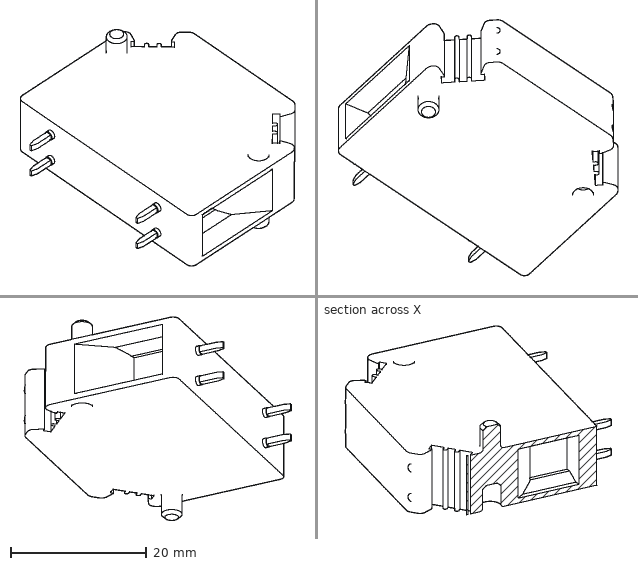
import cadquery as cq
import math

width = 36.8
depth = 28.7
thickness = 10.0
corner_radius = 1.0
half_width = width / 2
half_thickness = thickness / 2

bevel_corner_x = 10.9
bevel_radius = 1.25

horn_radius = 1.0

seat_x = 12.65
seat_y = 22.3
seat_half_length = 3.2
slot_wall_height = 1.1
lip_overhang = 0.48
lip_thickness = 0.22
lip_round = 0.15
lip_angle = math.radians(67.5)

rib_spacing = 1.85
rib_width = 0.65
rib_height = 0.75

peg_x = 15.0
peg_y = 17.15
peg_radius = 1.55
peg_tip_spacing = 18.4
peg_length = peg_tip_spacing / 2 - half_thickness
peg_chamfer = 0.5
peg_base_radius = 0.5

funnel_back_y = 16.75
funnel_front_y = 2.3
funnel_height = 8.2
throat_back_y = 9.75
throat_front_y = 3.57
throat_height = 5.75
funnel_depth = 5.7
ramp_start = 3.6
ramp_end = 5.08
back_wall_angle = math.radians(54)
throat_round = 1.0

pin_x = 11.22
pin_z = 2.5
pin_length = 4.3
pin_width = 0.9
pin_thickness = 1.0
pin_tip_width = 0.33
pin_tip_length = 1.0
collar_radius = 0.7
collar_length = 0.55
pin_root = 0.35

stud_radius = 0.75
stud_length = 1.1
stud_y = 28.15


def seat_point(u, v):
    """Turn seat coordinates of the left slot into x, y."""
    half_root = math.sqrt(0.5)
    return (-seat_x + (u - v) * half_root, seat_y + (u + v) * half_root)


def line_crossing(point, angle, other_point, other_angle):
    """Crossing of two lines, each given by a point and a direction angle."""
    dx = other_point[0] - point[0]
    dy = other_point[1] - point[1]
    along = dx * math.sin(other_angle) - dy * math.cos(other_angle)
    along /= math.sin(other_angle - angle)
    return (point[0] + along * math.cos(angle), point[1] + along * math.sin(angle))


def round_edges(body, points, radius):
    """Round the Z edges that pass through the given points."""
    for x, y in points:
        edge = body.edges("|Z").edges(cq.selectors.NearestToPointSelector((x, y, 0)))
        body = edge.fillet(radius)
    return body


def plate(points):
    """Closed outline extruded through the full thickness."""
    return cq.Workplane("XY").polyline(points).close().extrude(half_thickness, both=True)


def half_housing():
    """Left half of the housing."""
    lip_u = seat_half_length - lip_overhang
    lip_top = slot_wall_height + lip_thickness
    lower_lip = [seat_point(-lip_u, lip_top), seat_point(-lip_u, slot_wall_height)]
    upper_lip = [seat_point(lip_u, slot_wall_height), seat_point(lip_u, lip_top)]
    slot = [
        seat_point(-seat_half_length, slot_wall_height),
        seat_point(-seat_half_length, 0),
        seat_point(seat_half_length, 0),
        seat_point(seat_half_length, slot_wall_height),
    ]

    diagonal = math.radians(45)
    front_corner = (-half_width, 0)
    back_corner = (-bevel_corner_x, depth)
    side_corner = (-half_width, depth - (half_width - bevel_corner_x))
    lower_horn = line_crossing(lower_lip[0], diagonal - lip_angle, back_corner, diagonal)
    upper_horn = line_crossing(upper_lip[1], diagonal + lip_angle, back_corner, diagonal)

    outline = [(0, 0), front_corner, side_corner, lower_horn, *lower_lip, *slot]
    outline += [*upper_lip, upper_horn, back_corner, (0, depth)]
    body = plate(outline)
    body = round_edges(body, [front_corner], corner_radius)
    body = round_edges(body, [lower_horn, upper_horn], horn_radius)
    body = round_edges(body, [side_corner, back_corner], bevel_radius)
    body = round_edges(body, lower_lip[:1] + upper_lip[1:], lip_round)

    for u in (-rib_spacing / 2, rib_spacing / 2):
        body = body.union(rib(u))
    return body.union(studs())


def rib(u):
    """Round-topped rib standing on the seat."""
    radius = rib_width / 2
    straight = rib_height - radius
    return (
        cq.Workplane("XY")
        .moveTo(*seat_point(u - radius, -radius))
        .lineTo(*seat_point(u - radius, straight))
        .threePointArc(seat_point(u, rib_height), seat_point(u + radius, straight))
        .lineTo(*seat_point(u + radius, -radius))
        .close()
        .extrude(half_thickness, both=True)
    )


def studs():
    """Two studs square to the left bevel, level with the pin rows."""
    stud_x = -bevel_corner_x - (depth - stud_y)
    pair = cq.Workplane("XY")
    for z in (-pin_z, pin_z):
        face = cq.Plane(origin=(stud_x, stud_y, z), xDir=(0, 0, 1), normal=(1, -1, 0))
        pair = pair.union(cq.Workplane(face).circle(stud_radius).extrude(stud_length))
    return pair


def funnel():
    """Cavity of the left wire funnel: a plan shape limited in height by a side shape."""
    face = -half_width
    floor = face + funnel_depth
    back_mouth = (face, funnel_back_y)
    throat_corner = line_crossing(back_mouth, -back_wall_angle, (floor, throat_back_y), 0)
    plan = plate([
        (face, funnel_front_y),
        (floor, throat_front_y),
        (floor, throat_back_y),
        throat_corner,
        back_mouth,
    ])
    plan = round_edges(plan, [throat_corner], throat_round)

    upper = [
        (face, funnel_height / 2),
        (face + ramp_start, funnel_height / 2),
        (face + ramp_end, throat_height / 2),
        (floor, throat_height / 2),
    ]
    lower = [(x, -z) for x, z in reversed(upper)]
    side = cq.Workplane("XZ").polyline(upper + lower).close().extrude(-depth)
    return plan.intersect(side)


def peg(x):
    """Upright peg on z = 0 with a flared base and a chamfered tip; also the socket shape."""
    mid_arc = peg_base_radius * (1 - math.sqrt(0.5))
    return (
        cq.Workplane("XZ")
        .lineTo(peg_radius + peg_base_radius, 0)
        .threePointArc((peg_radius + mid_arc, mid_arc), (peg_radius, peg_base_radius))
        .lineTo(peg_radius, peg_length - peg_chamfer)
        .lineTo(peg_radius - peg_chamfer, peg_length)
        .lineTo(0, peg_length)
        .close()
        .revolve(360, (0, 0, 0), (0, 1, 0))
        .translate((x, peg_y, 0))
    )


def pin(x, z):
    """Collared pin pointing to -Y, its tip tapering in width only."""
    collar = cq.Workplane("XZ", origin=(0, pin_root, 0)).circle(collar_radius)
    collar = collar.extrude(pin_root + collar_length)
    taper_y = pin_tip_length - pin_length
    blade = (
        cq.Workplane("XY")
        .polyline([
            (-pin_width / 2, 0),
            (-pin_width / 2, taper_y),
            (-pin_tip_width / 2, -pin_length),
            (pin_tip_width / 2, -pin_length),
            (pin_width / 2, taper_y),
            (pin_width / 2, 0),
        ])
        .close()
        .extrude(pin_thickness / 2, both=True)
    )
    return collar.union(blade).translate((x, 0, z))


left_half = half_housing().cut(funnel())
result = left_half.union(left_half.mirror("YZ"))

top = (0, 0, half_thickness)
half_turn = ((0, 0, 0), (0, 1, 0), 180)
top_peg = peg(-peg_x).translate(top)
top_socket = peg(peg_x).mirror("XY").translate(top)
for new_peg in (top_peg, top_peg.rotate(*half_turn)):
    result = result.union(new_peg)
for socket in (top_socket, top_socket.rotate(*half_turn)):
    result = result.cut(socket)

for x in (-pin_x, pin_x):
    for z in (-pin_z, pin_z):
        result = result.union(pin(x, z))